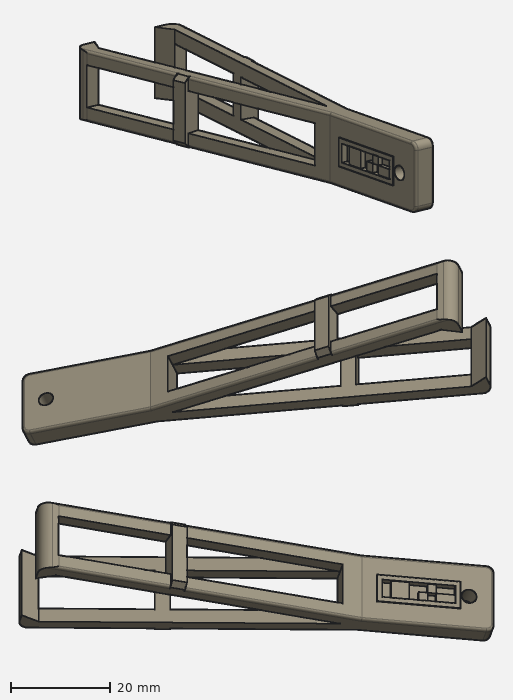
import cadquery as cq
import math


LENGTH = 95
SPREAD = 26.0
HEIGHT = 15.0

JAW_LENGTH = 3.8
JAW_GAP = 15.8
JAW_ROUND = 2.5

HANDLE_THICKNESS = 4.8
HANDLE_START = 67.8
CROTCH_X = 63.8
HANDLE_CORNER = 1.6
EDGE_ROUND = 0.6

WINDOW_HEIGHT = 8.9
BAR_X = 27.5
BAR_WIDTH = 3.1
BAR_RISE = 1.0
BAR_CHAMFER = 1.1

HOLE_DIAMETER = 3.0
HOLE_X = 89.9

FRAME_START = 71.0
FRAME_LENGTH = 17.1
FRAME_HEIGHT = 6.1
FRAME_BORDER = 1.0
FRAME_RISE = 0.3
PANEL_RECESS = 1.1
BLOCK_EDGES = (1.9, 5.6, 7.5, 9.4, 11.1)

HALF_HEIGHT = HEIGHT / 2
HALF_SPREAD = SPREAD / 2
HALF_THICKNESS = HANDLE_THICKNESS / 2
ARM_SLOPE = (HALF_SPREAD - HALF_THICKNESS) / (HANDLE_START - JAW_LENGTH)
INNER_HALF_SPREAD = (CROTCH_X - JAW_LENGTH) * ARM_SLOPE
ARM_ANGLE = math.degrees(math.atan(ARM_SLOPE))


def box(x_start, x_end, y_start, y_end, z_start, z_end):
    """Box given by its limits along each axis."""
    size = (x_end - x_start, y_end - y_start, z_end - z_start)
    return cq.Workplane("XY").box(*size, centered=False).translate((x_start, y_start, z_start))


def tweezer_body():
    """V-shaped body with rounded jaws, rounded handle corners and rounded outer edges."""
    half_outline = [
        (CROTCH_X, 0),
        (JAW_LENGTH, -INNER_HALF_SPREAD),
        (0, -JAW_GAP / 2),
        (0, -HALF_SPREAD),
        (JAW_LENGTH, -HALF_SPREAD),
        (HANDLE_START, -HALF_THICKNESS),
        (LENGTH, -HALF_THICKNESS),
    ]
    other_half = [(x, -y) for x, y in reversed(half_outline[1:])]
    body = (
        cq.Workplane("XY")
        .polyline(half_outline + other_half)
        .close()
        .extrude(HALF_HEIGHT, both=True)
    )
    for side in (-1, 1):
        jaw_corner = cq.selectors.NearestToPointSelector((0, side * HALF_SPREAD, 0))
        body = body.edges("|Z").edges(jaw_corner).fillet(JAW_ROUND)
    body = body.faces(">X").edges("|Y").fillet(HANDLE_CORNER)

    for side in (-1, 1):
        handle_middle = ((HANDLE_START + LENGTH) / 2, side * HALF_THICKNESS, 0)
        handle_face = cq.selectors.NearestToPointSelector(handle_middle)
        arm_middle = ((JAW_LENGTH + HANDLE_START) / 2, side * (HALF_SPREAD + HALF_THICKNESS) / 2, 0)
        arm_face = cq.selectors.NearestToPointSelector(arm_middle)
        handle_rim = body.faces(handle_face).edges("not |Z").vals()
        handle_end = body.faces(handle_face).edges(">X").vals()
        arm_rim = body.faces(arm_face).edges("not |Z").vals()
        body = body.newObject(handle_rim + handle_end + arm_rim).fillet(EDGE_ROUND)
    return body


def cross_bar():
    """Bar across the -Y arm, square to the arm and standing proud of its outer face."""
    arm_thickness = (HALF_SPREAD - INNER_HALF_SPREAD) * math.cos(math.radians(ARM_ANGLE))
    outer_y = -HALF_SPREAD + (BAR_X - JAW_LENGTH) * ARM_SLOPE
    bar = box(0, BAR_WIDTH, -BAR_RISE, arm_thickness, -HALF_HEIGHT, HALF_HEIGHT)
    bar = bar.faces("<Y").edges("|X").chamfer(BAR_CHAMFER)
    return bar.rotate((0, 0, 0), (0, 0, 1), ARM_ANGLE).translate((BAR_X, outer_y, 0))


def framed_panel(body):
    """Raised frame around a recessed panel whose blocks stay level with the handle face."""
    frame_end = FRAME_START + FRAME_LENGTH
    half_frame = FRAME_HEIGHT / 2
    panel_start = FRAME_START + FRAME_BORDER
    panel_end = frame_end - FRAME_BORDER
    half_panel = half_frame - FRAME_BORDER
    face_y = -HALF_THICKNESS
    top_y = face_y - FRAME_RISE
    floor_y = face_y + PANEL_RECESS

    body = body.union(box(FRAME_START, frame_end, top_y, 0, -half_frame, half_frame))
    body = body.cut(box(panel_start, panel_end, top_y, floor_y, -half_panel, half_panel))

    edges = [panel_start + offset for offset in BLOCK_EDGES]
    blocks = [
        (edges[0], edges[1], -half_panel, half_panel),
        (edges[2], edges[3], -half_panel, 0),
        (edges[3], edges[4], 0, half_panel),
        (edges[4], panel_end, -half_panel, 0),
    ]
    for x_start, x_end, z_start, z_end in blocks:
        body = body.union(box(x_start, x_end, face_y, 0, z_start, z_end))
    return body


half_window = WINDOW_HEIGHT / 2
window = box(JAW_LENGTH, CROTCH_X, -SPREAD, SPREAD, -half_window, half_window)
result = tweezer_body().cut(window)

bar = cross_bar()
result = result.union(bar).union(bar.mirror("XZ"))

result = framed_panel(result)

keyring_hole = (
    cq.Workplane("XZ")
    .center(HOLE_X, 0)
    .circle(HOLE_DIAMETER / 2)
    .extrude(SPREAD, both=True)
)
result = result.cut(keyring_hole)